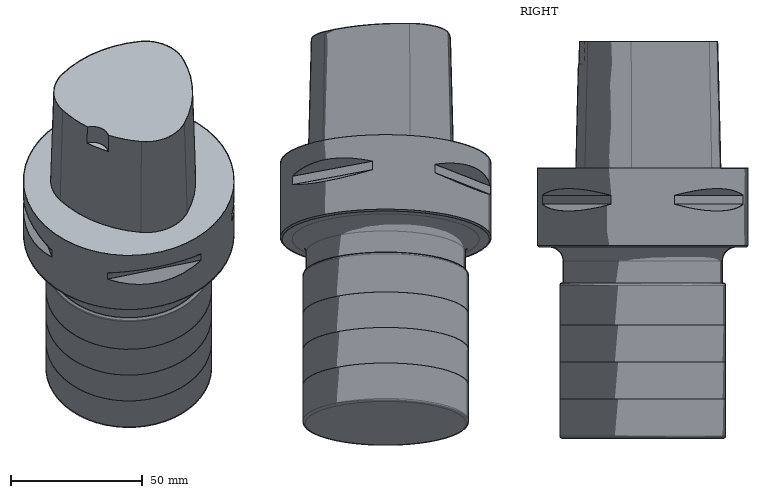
import cadquery as cq
import math

TOTAL_HEIGHT = 150.6
TAPER_HEIGHT = 48.0
FLANGE_HEIGHT = 30.0
FLANGE_TOP = TOTAL_HEIGHT - TAPER_HEIGHT
FLANGE_BOTTOM = FLANGE_TOP - FLANGE_HEIGHT

FLANGE_RADIUS = 80.0 / 2
FLANGE_CHAMFER = 0.6
NECK_RADIUS = 60.5 / 2
NECK_FILLET = 5.3

RING_RADIUS = 63.0 / 2
RING_END_FILLET = 0.9
END_RING_HEIGHT = 14.9
MIDDLE_RING_HEIGHT = 14.0
NECK_RING_HEIGHT = 16.0
RING_HEIGHTS = [END_RING_HEIGHT, MIDDLE_RING_HEIGHT, MIDDLE_RING_HEIGHT, NECK_RING_HEIGHT]
RINGS_TOP = sum(RING_HEIGHTS)

LOBE_REACH = 29.7
SIDE_REACH = 25.5
SIDE_RADIUS = 46.0
TAPER_ANGLE = math.degrees(math.atan(1 / 40))
SIDE_ANGLES = [-90, 30, 150]

NOTCH_RADIUS = 6.3
NOTCH_HEIGHT = 8.6
NOTCH_DEEPEST_Y = -22.1

SLOT_ANGLES = [45, 135, 225, 315]
SLOT_CENTER_Z = 90.5
SLOT_FLOOR_HEIGHT = 3.3
SLOT_DEPTH = 4.5
SLOT_WALL_ANGLE = 30.0
SLOT_OVERSHOOT = 1.5


def polar(radius, angle):
    """Point at a distance and an angle in degrees from the axis."""
    return (radius * math.cos(math.radians(angle)), radius * math.sin(math.radians(angle)))


def make_shank():
    """Three wide side arcs joined tangentially by three lobe arcs, tapering upward."""
    side_offset = SIDE_RADIUS - SIDE_REACH
    radius_gap = SIDE_RADIUS - LOBE_REACH
    lobe_offset = (side_offset**2 - radius_gap**2) / (2 * radius_gap - side_offset)
    joint_angle = math.asin(lobe_offset * math.sin(math.radians(60)) / (radius_gap + lobe_offset))
    joint_across = SIDE_RADIUS * math.sin(joint_angle)
    joint_out = SIDE_RADIUS * math.cos(joint_angle) - side_offset
    joint_reach = math.hypot(joint_across, joint_out)
    joint_spread = math.degrees(math.atan2(joint_across, joint_out))

    outline = cq.Workplane("XY", origin=(0, 0, FLANGE_TOP))
    outline = outline.moveTo(*polar(joint_reach, SIDE_ANGLES[0] - joint_spread))
    for angle in SIDE_ANGLES:
        outline = outline.threePointArc(polar(SIDE_REACH, angle), polar(joint_reach, angle + joint_spread))
        outline = outline.threePointArc(
            polar(LOBE_REACH, angle + 60), polar(joint_reach, angle + 120 - joint_spread)
        )
    return outline.close().extrude(TAPER_HEIGHT, taper=TAPER_ANGLE)


def make_notch_cutter():
    return (
        cq.Workplane("XY", origin=(0, NOTCH_DEEPEST_Y - NOTCH_RADIUS, TOTAL_HEIGHT - NOTCH_HEIGHT))
        .circle(NOTCH_RADIUS)
        .extrude(NOTCH_HEIGHT)
    )


def make_flange_and_neck():
    """Revolved profile with a concave fillet between the flange and the neck."""
    fillet_center = (NECK_RADIUS + NECK_FILLET, FLANGE_BOTTOM - NECK_FILLET)
    fillet_mid = (
        fillet_center[0] - NECK_FILLET * math.sqrt(0.5),
        fillet_center[1] + NECK_FILLET * math.sqrt(0.5),
    )
    return (
        cq.Workplane("XZ")
        .moveTo(0, RINGS_TOP)
        .lineTo(NECK_RADIUS, RINGS_TOP)
        .lineTo(NECK_RADIUS, fillet_center[1])
        .threePointArc(fillet_mid, (fillet_center[0], FLANGE_BOTTOM))
        .lineTo(FLANGE_RADIUS - FLANGE_CHAMFER, FLANGE_BOTTOM)
        .lineTo(FLANGE_RADIUS, FLANGE_BOTTOM + FLANGE_CHAMFER)
        .lineTo(FLANGE_RADIUS, FLANGE_TOP)
        .lineTo(0, FLANGE_TOP)
        .close()
        .revolve(360, (0, 0, 0), (0, 1, 0))
    )


def make_slot_cutter(angle):
    """Straight cutter with a flat floor and walls that open outward."""
    floor_x = FLANGE_RADIUS - SLOT_DEPTH
    mouth_x = FLANGE_RADIUS + SLOT_OVERSHOOT
    floor_half = SLOT_FLOOR_HEIGHT / 2
    mouth_half = floor_half + (mouth_x - floor_x) * math.tan(math.radians(SLOT_WALL_ANGLE))
    return (
        cq.Workplane("XZ", origin=(0, 0, SLOT_CENTER_Z))
        .polyline([
            (floor_x, -floor_half),
            (mouth_x, -mouth_half),
            (mouth_x, mouth_half),
            (floor_x, floor_half),
        ])
        .close()
        .extrude(FLANGE_RADIUS, both=True)
        .rotate((0, 0, 0), (0, 0, 1), angle)
    )


def make_holder():
    holder = make_flange_and_neck().union(make_shank()).cut(make_notch_cutter())
    for angle in SLOT_ANGLES:
        holder = holder.cut(make_slot_cutter(angle))
    return holder


def make_ring(index):
    """Plain disc, rounded on the rim where it forms an end of the stack."""
    bottom = sum(RING_HEIGHTS[:index])
    ring = cq.Workplane("XY", origin=(0, 0, bottom)).circle(RING_RADIUS).extrude(RING_HEIGHTS[index])
    if index == 0:
        ring = ring.faces("<Z").edges().fillet(RING_END_FILLET)
    if index == len(RING_HEIGHTS) - 1:
        ring = ring.faces(">Z").edges().fillet(RING_END_FILLET)
    return ring


holder = make_holder()
rings = [make_ring(index) for index in range(len(RING_HEIGHTS))]

result = cq.Compound.makeCompound([holder.val(), *[ring.val() for ring in rings]])